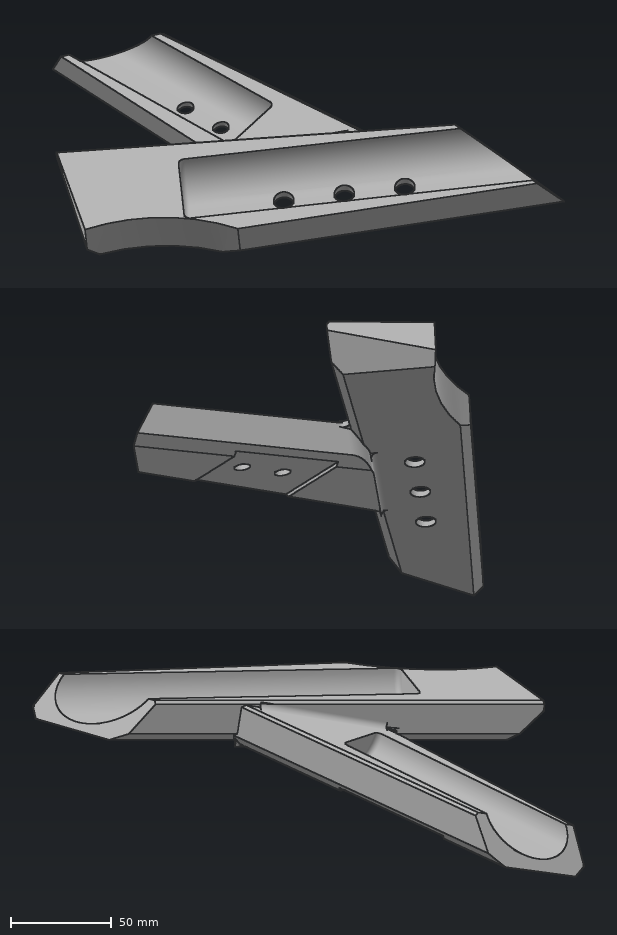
import cadquery as cq
import math

BAR_DEPTH = 22.0
SIDE_DEPTH = 17.0
BEVEL_WIDTH = 5.0
SIDE_TAPER = 3.0
TOP_CHAMFER = 1.5
TOP_CHAMFER_ANGLE = 45.0
END_RAKE = 30.0
END_SKEW = 40.5

MAIN_HEADING = 29.5
MAIN_CLIMB = 4.5
MAIN_HALF_WIDTH = 28.1
MAIN_END = 80.8
MAIN_GROOVE_START = -51.2
MAIN_GROOVE_RADIUS = 19.3
MAIN_GROOVE_AXIS = 1.0
MAIN_HOLE_DIAMETER = 10.0
MAIN_HOLE_SPACING = 30.2
MAIN_HOLE_COUNT = 3
HEEL_POSITION = -104.5
HEEL_SKEW = 10.7
HEEL_BOTTOM = -95.0
HEEL_UNDERCUT = 43.2
SCALLOP_RADIUS = 100.0
SCALLOP_POSITION = -75.7
SCALLOP_PEAK = -15.9

ARM_ORIGIN = (-76.9, 50.9, -26.9)
ARM_HEADING = 160.0
ARM_CLIMB = 15.0
ARM_HALF_WIDTH = 22.9
ARM_END = 41.1
ARM_GROOVE_START = -47.8
ARM_GROOVE_RADIUS = 16.0
ARM_GROOVE_AXIS = -0.5
ARM_HOLE_DIAMETER = 8.0
ARM_HOLE_SPACING = -25.3
ARM_HOLE_COUNT = 2
ARM_INNER_END = -61.0
ARM_CORNER_RADIUS = 23.0
RELIEF_DEPTH = 2.0
RELIEF_OUTER = 21.5
RELIEF_INNER = -40.0

GROOVE_END_FILLET = 3.0
JOINT_FILLET = 3.0
JOINT_ROOT = 0.2

TOP_JOINT_START = -33.0
TOP_JOINT_END = 33.0
WALL_JOINT_START = -44.0
WALL_JOINT_END = 14.0
SIDE_JOINT_START = -14.0
SIDE_JOINT_END = -10.6

REACH = 400.0
ARM_WALL_ON_AXIS = ARM_INNER_END / math.cos(math.radians(END_SKEW))


def bar_frame(origin, heading, climb):
    """Frame with x along the bar and z square to a top face that climbs `climb` degrees towards +X."""
    slope = math.tan(math.radians(climb))
    run_x = math.cos(math.radians(heading))
    run_y = math.sin(math.radians(heading))
    return cq.Plane(origin=origin, xDir=(run_x, run_y, slope * run_x), normal=(-slope, 0, 1))


def trim(body, point, turn, rake):
    """Cut away everything beyond a plane through `point`.

    The plane faces `turn` degrees from x; `rake` degrees tips its lower part outwards.
    """
    waste = (
        cq.Workplane("XY")
        .box(REACH, 2 * REACH, 2 * REACH, centered=(False, True, True))
        .rotate((0, 0, 0), (0, 1, 0), -rake)
        .rotate((0, 0, 0), (0, 0, 1), turn)
        .translate(point)
    )
    return body.cut(waste)


def tapered_prism(half_width):
    """Long slab, flat on top, whose two upright sides converge along x."""
    prism = cq.Workplane("XY").rect(REACH, REACH).extrude(-BAR_DEPTH)
    for side in (1, -1):
        prism = trim(prism, (0, side * half_width, 0), side * (90 - SIDE_TAPER), 0)
    return prism


def bevel_long_edges(prism, half_width, chamfered_side):
    """Bevel both lower edges, and chamfer the top edge on one side (+1 or -1)."""
    bevel_rake = -math.degrees(math.atan2(BEVEL_WIDTH, BAR_DEPTH - SIDE_DEPTH))
    for side in (1, -1):
        prism = trim(prism, (0, side * half_width, -SIDE_DEPTH), side * (90 - SIDE_TAPER), bevel_rake)
    chamfer_edge = (0, chamfered_side * (half_width - TOP_CHAMFER), 0)
    return trim(prism, chamfer_edge, chamfered_side * (90 - SIDE_TAPER), TOP_CHAMFER_ANGLE)


def rake_outer_end(bar, distance, skew):
    """Outer end face, `distance` from the frame origin at the top and leaning outwards below."""
    on_axis = distance / math.cos(math.radians(skew))
    return trim(bar, (on_axis, 0, 0), skew, END_RAKE)


def groove_cutter(radius, axis_height, start):
    """U-shaped trough, open at the outer end, with a rounded corner round its inner end."""
    return (
        cq.Workplane("YZ", origin=(start, 0, axis_height))
        .moveTo(-radius, 2 * radius)
        .lineTo(-radius, 0)
        .threePointArc((0, -radius), (radius, 0))
        .lineTo(radius, 2 * radius)
        .close()
        .extrude(REACH)
        .faces("<X")
        .edges("not >Z")
        .fillet(GROOVE_END_FILLET)
    )


def hole_cutters(frame, diameter, spacing, count):
    """Row of plumb holes along the bar."""
    centres = [frame.toWorldCoords((number * spacing, 0, 0)).toTuple()[:2] for number in range(count)]
    return cq.Workplane("XY").pushPoints(centres).circle(diameter / 2).extrude(REACH / 2, both=True)


def main_bar():
    """Bar with an undercut heel and a hollow scallop in its right side."""
    bar = tapered_prism(MAIN_HALF_WIDTH)
    bar = trim(bar, (HEEL_POSITION, 0, 0), 180 + HEEL_SKEW, 0)
    bar = bevel_long_edges(bar, MAIN_HALF_WIDTH, 1)
    bar = trim(bar, (HEEL_BOTTOM, 0, -BAR_DEPTH), 180, -HEEL_UNDERCUT)
    bar = rake_outer_end(bar, MAIN_END, END_SKEW)
    scallop = (
        cq.Workplane("XY")
        .center(SCALLOP_POSITION, SCALLOP_PEAK - SCALLOP_RADIUS)
        .circle(SCALLOP_RADIUS)
        .extrude(REACH / 2, both=True)
    )
    return bar.cut(scallop)


def arm_bar():
    """The arm's inner end, buried under the main bar, is parallel to its outer end."""
    bar = tapered_prism(ARM_HALF_WIDTH)
    bar = trim(bar, (ARM_WALL_ON_AXIS, 0, 0), 180 - END_SKEW, 0)
    bar = bar.edges("|Z").edges(">Y").fillet(ARM_CORNER_RADIUS)
    bar = bevel_long_edges(bar, ARM_HALF_WIDTH, -1)
    relief = (
        cq.Workplane("XY")
        .box(RELIEF_OUTER - RELIEF_INNER, REACH, 2 * RELIEF_DEPTH)
        .translate(((RELIEF_OUTER + RELIEF_INNER) / 2, 0, -BAR_DEPTH))
    )
    return rake_outer_end(bar.cut(relief), ARM_END, -END_SKEW)


def placed(body, frame):
    """The body moved from the frame of a bar to its place in the part."""
    return cq.Workplane(body.val().located(frame.location))


def level_direction(turn):
    """Unit direction `turn` degrees from x, in the plane of a bar's top face."""
    return (math.cos(math.radians(turn)), math.sin(math.radians(turn)), 0)


def face(frame, point, normal):
    """A flat face as a point and an outward unit direction, both given in the frame of a bar."""
    origin = frame.toWorldCoords(point)
    return origin, frame.toWorldCoords(cq.Vector(point) + cq.Vector(normal)) - origin


def joint_fillet(face_a, face_b, start, end):
    """Concave fillet along the line where two faces meet.

    `start` and `end` are distances along that line from the foot of the point of `face_a`.
    """
    point_a, normal_a = face_a
    point_b, normal_b = face_b
    along = normal_a.cross(normal_b).normalized()
    across = normal_a.cross(along)
    foot = point_a + across * ((point_b - point_a).dot(normal_b) / across.dot(normal_b))
    to_centre = (normal_a + normal_b) * (JOINT_FILLET / (1 + normal_a.dot(normal_b)))
    section = cq.Plane(origin=foot + along * start, xDir=normal_a, normal=along)
    offsets = (
        to_centre * -JOINT_ROOT,
        to_centre - normal_a * JOINT_FILLET,
        to_centre,
        to_centre - normal_b * JOINT_FILLET,
    )
    corners = [section.toLocalCoords(section.origin + offset).toTuple()[:2] for offset in offsets]
    wedge = cq.Workplane(section).polyline(corners).close().extrude(end - start)
    round_bar = cq.Workplane(section).center(*corners[2]).circle(JOINT_FILLET).extrude(end - start)
    return wedge.cut(round_bar)


main_frame = bar_frame((0, 0, 0), MAIN_HEADING, MAIN_CLIMB)
arm_frame = bar_frame(ARM_ORIGIN, ARM_HEADING, ARM_CLIMB)

main_groove = groove_cutter(MAIN_GROOVE_RADIUS, MAIN_GROOVE_AXIS, MAIN_GROOVE_START)
arm_groove = groove_cutter(ARM_GROOVE_RADIUS, ARM_GROOVE_AXIS, ARM_GROOVE_START)

body = placed(main_bar(), main_frame).union(placed(arm_bar(), arm_frame))
main_side = face(main_frame, (0, MAIN_HALF_WIDTH, 0), level_direction(90 - SIDE_TAPER))
main_bottom = face(main_frame, (0, 0, -BAR_DEPTH), (0, 0, -1))
arm_top = face(arm_frame, (0, 0, 0), (0, 0, 1))
arm_side = face(arm_frame, (0, ARM_HALF_WIDTH, 0), level_direction(90 - SIDE_TAPER))
arm_wall = face(arm_frame, (ARM_WALL_ON_AXIS, 0, 0), level_direction(180 - END_SKEW))

body = body.union(joint_fillet(main_side, arm_top, TOP_JOINT_START, TOP_JOINT_END))
body = body.union(joint_fillet(main_bottom, arm_wall, WALL_JOINT_START, WALL_JOINT_END))
body = body.union(joint_fillet(main_side, arm_side, SIDE_JOINT_START, SIDE_JOINT_END))

body = body.cut(placed(main_groove, main_frame)).cut(placed(arm_groove, arm_frame))
body = body.cut(hole_cutters(main_frame, MAIN_HOLE_DIAMETER, MAIN_HOLE_SPACING, MAIN_HOLE_COUNT))
body = body.cut(hole_cutters(arm_frame, ARM_HOLE_DIAMETER, ARM_HOLE_SPACING, ARM_HOLE_COUNT))

result = body